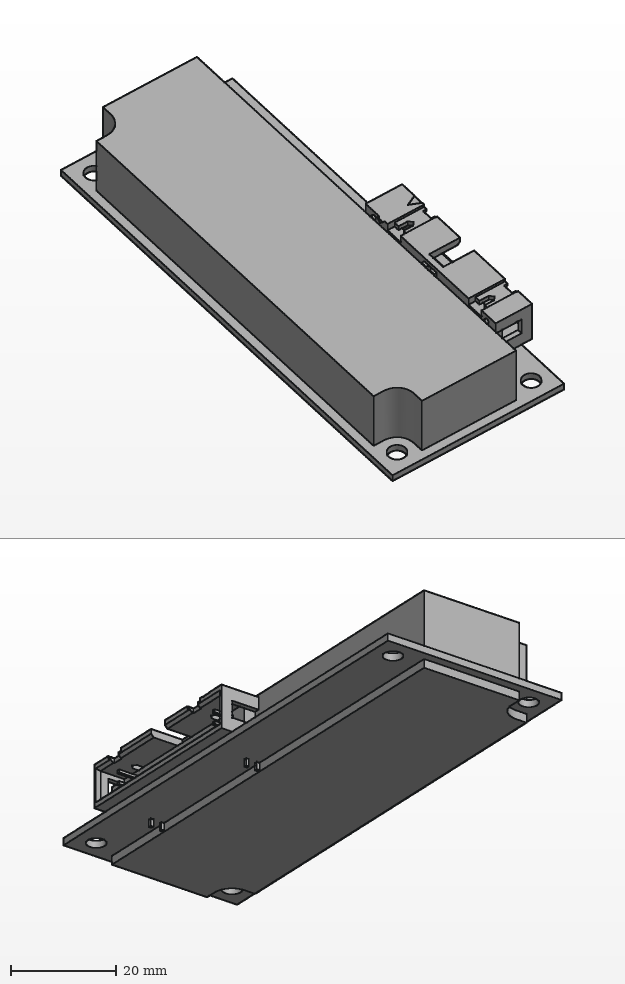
import cadquery as cq


BOARD_LENGTH = 104.0
BOARD_DEPTH = 41.0
BOARD_THICKNESS = 1.6
HOLE_DIAMETER = 4.0
HOLE_INSET = 4.5

COVER_LENGTH = 100.0
COVER_FRONT = 2.0
COVER_BACK = 31.0
COVER_RELIEF_RADIUS = 4.1
TOP_COVER_HEIGHT = 13.2
OVERALL_HEIGHT = 16.6
BOTTOM_COVER_HEIGHT = OVERALL_HEIGHT - TOP_COVER_HEIGHT - BOARD_THICKNESS

OVERALL_DEPTH = 43.5
CONNECTOR_X = 18.3
SHELL_LENGTH = 40.8
SHELL_DEPTH = 8.7
SHELL_HEIGHT = 9.4
SHELL_WALL = 1.7
END_WALL = 1.1
MOUTH_CHAMFER = 0.6
SHELL_MOUTH = OVERALL_DEPTH
SHELL_BACK = SHELL_MOUTH - SHELL_DEPTH
SHELL_LEFT = CONNECTOR_X - SHELL_LENGTH / 2
CAVITY_FLOOR = 37.2

KEY_WIDTH = 4.4
KEY_END = 36.1

END_SLOT_FRONT = BOARD_DEPTH
END_SLOT_BOTTOM = 3.0
END_SLOT_HEIGHT = 3.6

LATCH_CENTRE_X = CONNECTOR_X + 1.2
LATCH_SPACING = 25.4
LATCH_XS = (LATCH_CENTRE_X - LATCH_SPACING / 2, LATCH_CENTRE_X + LATCH_SPACING / 2)
LATCH_WIDTH = 4.1
LATCH_DEPTH = 0.6
LATCH_STEP = 36.4
LATCH_WINDOW_WIDTH = 1.6
LATCH_WINDOW_TIP = 39.4
LATCH_SLIT_WIDTH = 2.5
LATCH_SLIT_DEPTH = 0.8

PIN_SIZE = 0.6
PIN_PITCH = 2.5
PIN_SPAN = 30.6
PIN_XS = (CONNECTOR_X - PIN_SPAN / 2, CONNECTOR_X + PIN_SPAN / 2)
PIN_TIP = 41.6
PIN_TAIL = 1.6
OUTER_PIN_Y = COVER_BACK + PIN_SIZE / 2
OUTER_PIN_Z = 6.3
PIN_LEGS = (
    (OUTER_PIN_Y, OUTER_PIN_Z),
    (OUTER_PIN_Y + PIN_PITCH, OUTER_PIN_Z - PIN_PITCH),
)

MARK_WIDTH = 2.4
MARK_LENGTH = 2.5
MARK_DEPTH = 0.1
BACK_MARK_WIDTH = 1.9
BACK_MARK_HEIGHT = 0.9
BACK_MARK_DEPTH = 0.4
BUMP_DEPTH = 0.6
BUMP_DIAMETER = 1.0
BUMP_SPAN = 35.4
BUMP_RISE = 3.2
NOTCHED_BUMP_LENGTH = 4.0
BUMP_NOTCH_WIDTH = 1.7


def box(x0, x1, y0, y1, z0, z1):
    """Block between two opposite corners."""
    return cq.Workplane("XY").box(x1 - x0, y1 - y0, z1 - z0, centered=False).translate((x0, y0, z0))


def centred_box(x, width, y0, y1, z0, z1):
    """Block centred on x."""
    return box(x - width / 2, x + width / 2, y0, y1, z0, z1)


def make_cover(bottom, height):
    """Slab with a concave relief round each front mounting hole."""
    cover = centred_box(0, COVER_LENGTH, COVER_FRONT, COVER_BACK, bottom, bottom + height)
    hole_x = BOARD_LENGTH / 2 - HOLE_INSET
    relief_reach = HOLE_INSET + COVER_RELIEF_RADIUS
    for side in (-1, 1):
        relief = (
            cq.Workplane("XY", origin=(0, 0, bottom))
            .moveTo(side * BOARD_LENGTH / 2, 0)
            .lineTo(side * (hole_x - COVER_RELIEF_RADIUS), 0)
            .lineTo(side * (hole_x - COVER_RELIEF_RADIUS), HOLE_INSET)
            .radiusArc((side * hole_x, relief_reach), side * COVER_RELIEF_RADIUS)
            .lineTo(side * BOARD_LENGTH / 2, relief_reach)
            .close()
            .extrude(height)
        )
        cover = cover.cut(relief)
    return cover


def make_pin(x, leg_y, leg_z):
    """Right-angled pin: horizontal through the shell, then down through the board."""
    half = PIN_SIZE / 2
    horizontal = centred_box(x, PIN_SIZE, leg_y - half, PIN_TIP, leg_z - half, leg_z + half)
    vertical = centred_box(
        x, PIN_SIZE, leg_y - half, leg_y + half, -BOARD_THICKNESS - PIN_TAIL, leg_z + half
    )
    return horizontal.union(vertical)


def all_pins():
    """Both pins of the first and the last column."""
    pins = cq.Workplane("XY")
    for x in PIN_XS:
        for leg_y, leg_z in PIN_LEGS:
            pins = pins.union(make_pin(x, leg_y, leg_z))
    return pins


def make_board():
    """Board with four mounting holes and a square hole for each pin."""
    board = centred_box(0, BOARD_LENGTH, 0, BOARD_DEPTH, -BOARD_THICKNESS, 0)
    holes = (
        cq.Workplane("XY", origin=(0, BOARD_DEPTH / 2, -BOARD_THICKNESS))
        .rect(BOARD_LENGTH - 2 * HOLE_INSET, BOARD_DEPTH - 2 * HOLE_INSET, forConstruction=True)
        .vertices()
        .circle(HOLE_DIAMETER / 2)
        .extrude(BOARD_THICKNESS)
    )
    return board.cut(holes).cut(all_pins())


def cavity():
    """Plug cavity, widened by a chamfer at the mouth."""
    length = SHELL_LENGTH - 2 * END_WALL
    height = SHELL_HEIGHT - 2 * SHELL_WALL
    middle_z = SHELL_HEIGHT / 2
    straight = (
        cq.Workplane("XZ", origin=(CONNECTOR_X, SHELL_MOUTH, middle_z))
        .rect(length, height)
        .extrude(SHELL_MOUTH - CAVITY_FLOOR)
    )
    flare = (
        cq.Workplane("XZ", origin=(CONNECTOR_X, SHELL_MOUTH, middle_z))
        .rect(length + 2 * MOUTH_CHAMFER, height + 2 * MOUTH_CHAMFER)
        .workplane(offset=MOUTH_CHAMFER)
        .rect(length, height)
        .loft()
    )
    return straight.union(flare)


def latch_groove(x):
    """Shallow groove, deeper at the back, with a pointed window and a slit at the mouth."""
    wall_bottom = SHELL_HEIGHT - SHELL_WALL
    groove = centred_box(x, LATCH_WIDTH, SHELL_BACK, SHELL_MOUTH, SHELL_HEIGHT - LATCH_DEPTH, SHELL_HEIGHT)
    deep_end = centred_box(x, LATCH_WIDTH, SHELL_BACK, LATCH_STEP, wall_bottom, SHELL_HEIGHT)
    slit = centred_box(
        x, LATCH_SLIT_WIDTH, SHELL_MOUTH - LATCH_SLIT_DEPTH, SHELL_MOUTH, wall_bottom, SHELL_HEIGHT
    )
    half = LATCH_WINDOW_WIDTH / 2
    shoulder = LATCH_WINDOW_TIP - half
    window = (
        cq.Workplane("XY", origin=(x, 0, wall_bottom))
        .moveTo(-half, LATCH_STEP)
        .lineTo(half, LATCH_STEP)
        .lineTo(half, shoulder)
        .lineTo(0, LATCH_WINDOW_TIP)
        .lineTo(-half, shoulder)
        .close()
        .extrude(SHELL_WALL)
    )
    return groove.union(deep_end).union(slit).union(window)


def end_slots():
    """Slots in both end walls, open at the back and through to the cavity."""
    slots = cq.Workplane("XY")
    for x in (SHELL_LEFT, SHELL_LEFT + SHELL_LENGTH - END_WALL):
        slots = slots.union(
            box(
                x, x + END_WALL, SHELL_BACK, END_SLOT_FRONT,
                END_SLOT_BOTTOM, END_SLOT_BOTTOM + END_SLOT_HEIGHT,
            )
        )
    return slots


def first_pin_mark():
    """Engraved triangle on the top wall, pointing back at the first pin."""
    return (
        cq.Workplane("XY", origin=(PIN_XS[0], SHELL_MOUTH, SHELL_HEIGHT))
        .polyline([(-MARK_WIDTH / 2, 0), (MARK_WIDTH / 2, 0), (0, -MARK_LENGTH)])
        .close()
        .extrude(-MARK_DEPTH)
    )


def back_mark():
    """Raised triangle at the top of the shell's back, above the first pin."""
    return (
        cq.Workplane("XZ", origin=(PIN_XS[0], SHELL_BACK, SHELL_HEIGHT))
        .polyline([(-BACK_MARK_WIDTH / 2, 0), (BACK_MARK_WIDTH / 2, 0), (0, -BACK_MARK_HEIGHT)])
        .close()
        .extrude(BACK_MARK_DEPTH)
    )


def round_bumps():
    """Round bumps near the four corners of the shell's back."""
    return (
        cq.Workplane("XZ", origin=(CONNECTOR_X, SHELL_BACK, SHELL_HEIGHT / 2))
        .rect(BUMP_SPAN, 2 * BUMP_RISE, forConstruction=True)
        .vertices()
        .circle(BUMP_DIAMETER / 2)
        .extrude(BUMP_DEPTH)
    )


def notched_bump():
    """Bar in the middle of the shell's back, split by a V notch."""
    half = NOTCHED_BUMP_LENGTH / 2
    notch = BUMP_NOTCH_WIDTH / 2
    bottom = SHELL_HEIGHT / 2 + BUMP_RISE - BUMP_DIAMETER / 2
    return (
        cq.Workplane("XY", origin=(CONNECTOR_X, SHELL_BACK, bottom))
        .polyline([(-half, 0), (-half, -BUMP_DEPTH), (-notch, -BUMP_DEPTH), (0, 0)])
        .close()
        .polyline([(half, 0), (half, -BUMP_DEPTH), (notch, -BUMP_DEPTH), (0, 0)])
        .close()
        .extrude(BUMP_DIAMETER)
    )


def make_connector():
    """Box header with its pins fixed in the shell."""
    shell = centred_box(CONNECTOR_X, SHELL_LENGTH, SHELL_BACK, SHELL_MOUTH, 0, SHELL_HEIGHT)
    key_notch = centred_box(
        CONNECTOR_X, KEY_WIDTH, KEY_END, SHELL_MOUTH, SHELL_HEIGHT - SHELL_WALL, SHELL_HEIGHT
    )
    shell = shell.cut(cavity()).cut(key_notch).cut(end_slots()).cut(first_pin_mark())
    for x in LATCH_XS:
        shell = shell.cut(latch_groove(x))
    shell = shell.union(back_mark()).union(round_bumps()).union(notched_bump())
    return shell.union(all_pins())


board = make_board()
top_cover = make_cover(0, TOP_COVER_HEIGHT)
bottom_cover = make_cover(-BOARD_THICKNESS - BOTTOM_COVER_HEIGHT, BOTTOM_COVER_HEIGHT)
connector = make_connector()

result = cq.Compound.makeCompound([board.val(), top_cover.val(), bottom_cover.val(), connector.val()])